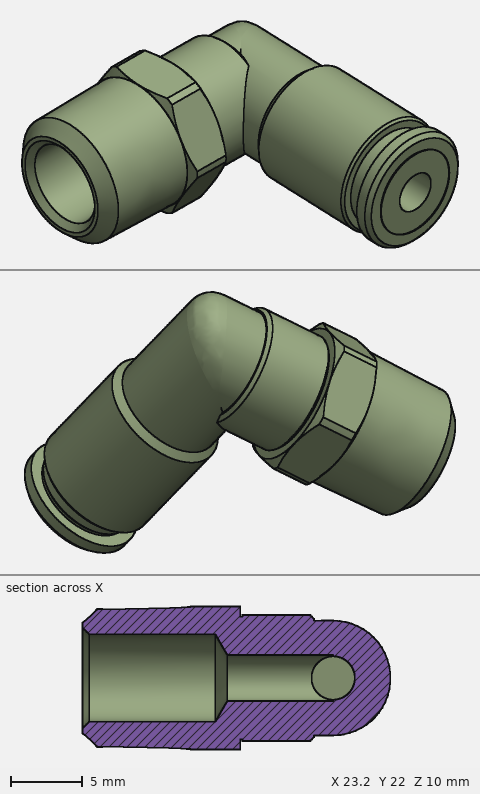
import cadquery as cq
import math


elbow_radius = 4.01
elbow_bore_radius = 1.5

socket_radius = 4.5
socket_start = 5.92
socket_lead_length = 0.55
socket_end = 14.96
socket_end_chamfer = 0.19
sleeve_radius = 3.74
sleeve_end = 16.03
sleeve_neck_radius = 3.6
sleeve_neck_chamfer = 0.15
flange_start = 16.38
flange_length = 1.14
flange_chamfer = 0.32
end_boss_radius = 3.3
end_x = 17.59

collar_radius = 4.4
collar_start = 1.32
collar_chamfer = 0.28
collar_end = 6.33
neck_radius = 4.3
hex_start = 6.47
hex_end = 9.95
hex_across_flats = 10.0
hex_corner_radius = 5.61
hex_face_radius = 4.99
hex_chamfer_angle = 30
thread_top_radius = 4.96
thread_end_radius = 4.83
thread_end = 16.45
stem_end = 17.5
stem_tip_radius = 3.85

mouth_radius = 3.53
counterbore_radius = 3.05
counterbore_depth = 9.28
stem_hole_radius = 1.6
bore_cone_half_angle = 60


def turned_about_x(points):
    """Revolve (x, radius) points about the X axis."""
    profile = cq.Workplane("XY").polyline(points).close()
    return profile.revolve(360, (0, 0, 0), (1, 0, 0))


def turned_about_y(points):
    """Revolve (radius, distance down the stem) points about the Y axis."""
    profile = cq.Workplane("XY").polyline([(r, -d) for r, d in points]).close()
    return profile.revolve(360, (0, 0, 0), (0, 1, 0))


def upright_prism(points):
    """Extrude an XY outline along Z, past both sides of the elbow."""
    half_height = 2 * elbow_radius
    return cq.Workplane("XY").polyline(points).close().extrude(half_height, both=True)


def make_elbow():
    """Two cylinders joined at the outer corner by an ellipsoid tangent to both."""
    r = elbow_radius
    x_leg = cq.Workplane("YZ").circle(r).extrude(socket_start + r).translate((-r, 0, 0))
    x_leg = x_leg.intersect(
        upright_prism([(0, 0), (-r, 2 * r), (socket_start, 2 * r), (socket_start, -2 * r), (0, -2 * r)])
    )
    y_leg = cq.Workplane("XZ").circle(r).extrude(collar_end + r).translate((0, r, 0))
    y_leg = y_leg.intersect(
        upright_prism([(0, 0), (-2 * r, r), (-2 * r, -collar_end), (2 * r, -collar_end), (2 * r, 0)])
    )

    diagonal_scale = math.sqrt(3 / 2)
    cross_scale = math.sqrt(1 / 2)
    stretch = cq.Matrix([
        [diagonal_scale, 0, 0, 0],
        [0, cross_scale, 0, 0],
        [0, 0, 1, 0],
    ])
    ball = cq.Workplane("XZ").sphere(r).val().transformGeometry(stretch)
    ellipsoid = cq.Workplane(ball).rotate((0, 0, 0), (0, 0, 1), 135)
    corner = ellipsoid.intersect(upright_prism([(0, 0), (-2 * r, r), (-2 * r, 2 * r), (-r, 2 * r)]))
    return x_leg.union(y_leg).union(corner)


def make_socket():
    """Socket body, release sleeve and its end flange."""
    flange_end = flange_start + flange_length
    return turned_about_x([
        (socket_start, 0),
        (socket_start, elbow_radius),
        (socket_start + socket_lead_length, socket_radius),
        (socket_end - socket_end_chamfer, socket_radius),
        (socket_end, socket_radius - socket_end_chamfer),
        (socket_end, sleeve_radius),
        (sleeve_end, sleeve_radius),
        (sleeve_end + sleeve_neck_chamfer, sleeve_neck_radius),
        (flange_start, sleeve_neck_radius),
        (flange_start, socket_radius),
        (flange_end - flange_chamfer, socket_radius),
        (flange_end, socket_radius - flange_chamfer),
        (flange_end, end_boss_radius),
        (end_x, end_boss_radius),
        (end_x, 0),
    ])


def make_collar():
    """Collar round the lower elbow leg, with a shallow neck above the hexagon."""
    return turned_about_y([
        (0, collar_start),
        (collar_radius - collar_chamfer, collar_start),
        (collar_radius, collar_start + collar_chamfer),
        (collar_radius, collar_end),
        (neck_radius, collar_end),
        (neck_radius, hex_start),
        (0, hex_start),
    ])


def make_hexagon():
    """Hexagon with flats facing +Z and -Z and with turned-off corners."""
    across_corners = hex_across_flats / math.cos(math.radians(30))
    prism = cq.Workplane("XZ", origin=(0, -hex_start, 0)).polygon(6, across_corners)
    prism = prism.extrude(hex_end - hex_start)
    drop = (hex_corner_radius - hex_face_radius) * math.tan(math.radians(hex_chamfer_angle))
    envelope = turned_about_y([
        (0, hex_start),
        (hex_face_radius, hex_start),
        (hex_corner_radius, hex_start + drop),
        (hex_corner_radius, hex_end - drop),
        (hex_face_radius, hex_end),
        (0, hex_end),
    ])
    return prism.intersect(envelope)


def make_thread():
    """Tapered thread body with a chamfered tip."""
    return turned_about_y([
        (0, hex_end),
        (thread_top_radius, hex_end),
        (thread_end_radius, thread_end),
        (stem_tip_radius, stem_end),
        (0, stem_end),
    ])


def make_stem_bore():
    """Chamfered counterbore with a conical floor leading to the elbow bore."""
    counterbore_end = stem_end - counterbore_depth
    mouth_depth = mouth_radius - counterbore_radius
    cone_length = (counterbore_radius - stem_hole_radius) / math.tan(math.radians(bore_cone_half_angle))
    return turned_about_y([
        (0, 0),
        (stem_hole_radius, 0),
        (stem_hole_radius, counterbore_end - cone_length),
        (counterbore_radius, counterbore_end),
        (counterbore_radius, stem_end - mouth_depth),
        (mouth_radius, stem_end),
        (0, stem_end),
    ])


def make_socket_bore():
    """Straight bore from inside the elbow out through the release sleeve."""
    bore_start = -stem_hole_radius
    bore = cq.Workplane("YZ", origin=(bore_start, 0, 0)).circle(elbow_bore_radius)
    return bore.extrude(end_x - bore_start)


body = make_elbow()
for section in (make_socket(), make_collar(), make_hexagon(), make_thread()):
    body = body.union(section)

result = body.cut(make_stem_bore()).cut(make_socket_bore())